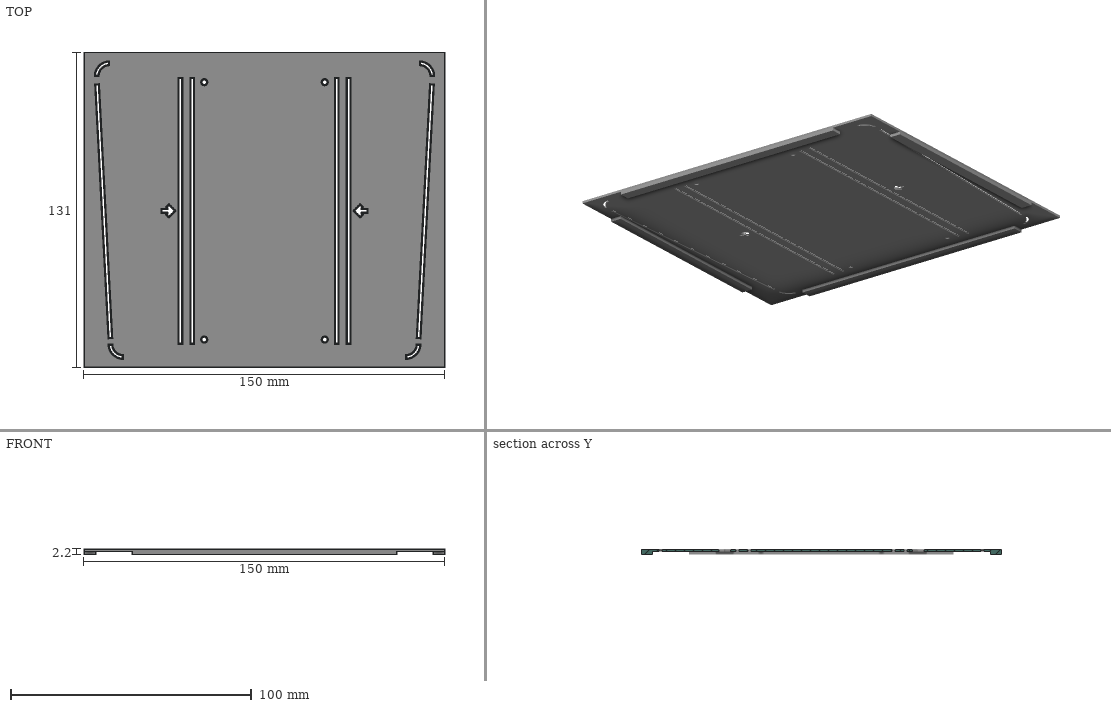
import cadquery as cq
import math

length = 150.0
width = 131.0
total_height = 2.2
plate_thickness = 1.0

strip_width = 5.0
strip_depth = total_height - plate_thickness
strip_end_gap = 20.0

chamfer = 0.5
chamfer_angle = 45.0
slot_bottom_width = 1.0
slot_width = slot_bottom_width + 2 * chamfer

pattern_y = -0.5

straight_slot_length = 111.0
straight_slot_x = (30.0, 35.0)

hole_bottom_diameter = 2.0
hole_top_diameter = hole_bottom_diameter + 2 * chamfer
hole_x = 25.0
hole_spacing_y = 107.0

leaning_top = (69.6, 52.4)
leaning_bottom = (64.0, -53.5)

curve_radius = 5.4
top_curve_center = (64.4, 55.5)
bottom_curve_center = (58.6, -55.8)

arrow_x = 39.8
arrow_head_reach = 3.0
arrow_shaft_reach = 3.3


def edge_strips():
    """Four separate strips hanging from the underside of the plate."""
    underside = cq.Workplane("XY")
    front_and_back = (
        underside.pushPoints([(0, side * (width - strip_width) / 2) for side in (-1, 1)])
        .rect(length - 2 * strip_end_gap, strip_width)
        .extrude(-strip_depth)
    )
    left_and_right = (
        underside.pushPoints([(side * (length - strip_width) / 2, 0) for side in (-1, 1)])
        .rect(strip_width, width - 2 * strip_end_gap)
        .extrude(-strip_depth)
    )
    return front_and_back.union(left_and_right)


def top_face(x=0.0, y=0.0):
    return cq.Workplane("XY", origin=(x, y, plate_thickness))


def sink(outline):
    """Cutter from an outline on the top face: chamfered first, then straight to the bottom face."""
    chamfered = outline.extrude(-chamfer, taper=chamfer_angle)
    straight = chamfered.faces("<Z").wires().toPending().workplane().extrude(plate_thickness - chamfer)
    return chamfered.union(straight)


def straight_slot(x):
    return sink(top_face(x, pattern_y).rect(slot_width, straight_slot_length))


def leaning_slot():
    run = leaning_top[0] - leaning_bottom[0]
    rise = leaning_top[1] - leaning_bottom[1]
    middle_x = (leaning_top[0] + leaning_bottom[0]) / 2
    middle_y = (leaning_top[1] + leaning_bottom[1]) / 2
    lean = math.degrees(math.atan2(run, rise))
    upright = sink(top_face().rect(slot_width, math.hypot(run, rise)))
    return upright.rotate((0, 0, 0), (0, 0, 1), -lean).translate((middle_x, middle_y, 0))


def curved_slot(center, side):
    """Quarter ring bulging outward, toward +Y for side 1 and toward -Y for side -1."""
    outer = curve_radius + slot_width / 2
    inner = curve_radius - slot_width / 2
    diagonal = math.sqrt(0.5)
    return sink(
        top_face(*center)
        .moveTo(outer, 0)
        .threePointArc((outer * diagonal, side * outer * diagonal), (0, side * outer))
        .lineTo(0, side * inner)
        .threePointArc((inner * diagonal, side * inner * diagonal), (inner, 0))
        .close()
    )


def arrow():
    half_shaft = slot_width / 2
    arm_step = slot_width * math.sqrt(0.5)
    notch_x = 2 * arm_step - arrow_head_reach + half_shaft
    upper_half = [
        (arrow_shaft_reach, half_shaft),
        (notch_x, half_shaft),
        (arm_step, arrow_head_reach - arm_step),
        (0, arrow_head_reach),
    ]
    lower_half = [(x, -y) for x, y in reversed(upper_half)]
    tip = (-arrow_head_reach, 0)
    return sink(top_face(arrow_x, pattern_y).polyline([*upper_half, tip, *lower_half]).close())


def round_hole(side):
    return sink(top_face(hole_x, pattern_y + side * hole_spacing_y / 2).circle(hole_top_diameter / 2))


right_half_openings = [
    *[straight_slot(x) for x in straight_slot_x],
    *[round_hole(side) for side in (-1, 1)],
    leaning_slot(),
    curved_slot(top_curve_center, 1),
    curved_slot(bottom_curve_center, -1),
    arrow(),
]

result = cq.Workplane("XY").rect(length, width).extrude(plate_thickness).union(edge_strips())
for opening in right_half_openings:
    result = result.cut(opening).cut(opening.mirror("YZ"))